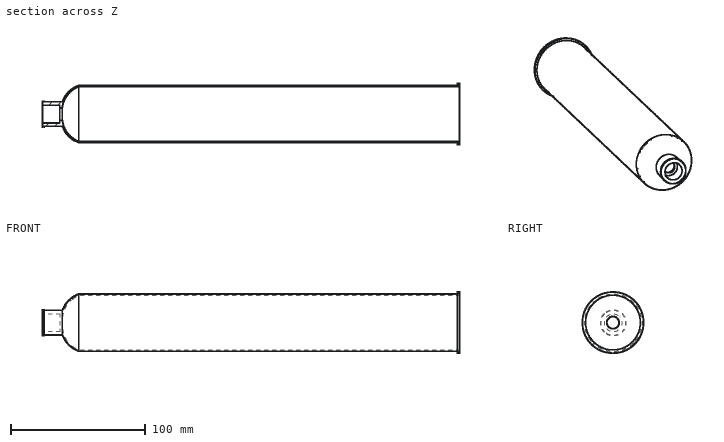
import cadquery as cq
import math

total_length = 311.0

barrel_diameter = 42.8
wall_thickness = 1.0
flange_diameter = 45.8
flange_thickness = 1.8

neck_diameter = 18.6
neck_length = 15.0
lip_diameter = 19.3
lip_length = 1.5
socket_diameter = 13.2
socket_depth = 13.0
throat_diameter = 9.0

shoulder_length = 12.0
shoulder_radius = 20.0

barrel_start = neck_length + shoulder_length
flange_start = total_length - flange_thickness
barrel_radius = barrel_diameter / 2
neck_radius = neck_diameter / 2
bore_radius = barrel_radius - wall_thickness
throat_radius = throat_diameter / 2


def shoulder_centre():
    """Centre of the shoulder arc through the neck and barrel corners, on its inner side."""
    rise = barrel_radius - neck_radius
    chord = math.hypot(shoulder_length, rise)
    offset = math.sqrt(shoulder_radius**2 - (chord / 2) ** 2)
    centre_x = neck_length + shoulder_length / 2 + offset * rise / chord
    centre_r = neck_radius + rise / 2 - offset * shoulder_length / chord
    return centre_x, centre_r


centre_x, centre_r = shoulder_centre()


def arc_x(radius, r):
    """Position along the axis where a shoulder arc of the given radius reaches distance r."""
    return centre_x - math.sqrt(radius**2 - (r - centre_r) ** 2)


def arc_middle(radius, start_r, end_r):
    """A point of the shoulder arc halfway between two distances from the axis."""
    middle_r = (start_r + end_r) / 2
    return arc_x(radius, middle_r), middle_r


def disc(diameter, start, length):
    """Cylinder along +X from the given start."""
    return cq.Workplane("YZ", origin=(start, 0, 0)).circle(diameter / 2).extrude(length)


def revolve_about_x(profile):
    """Close a half profile and turn it into a solid around the part's axis."""
    return profile.close().revolve(360, (0, 0, 0), (1, 0, 0))


def outer_body():
    """Neck, rounded shoulder and barrel as one solid, with the lip and the rear flange."""
    body = revolve_about_x(
        cq.Workplane("XY")
        .lineTo(0, neck_radius)
        .lineTo(neck_length, neck_radius)
        .threePointArc(
            arc_middle(shoulder_radius, neck_radius, barrel_radius),
            (barrel_start, barrel_radius),
        )
        .lineTo(total_length, barrel_radius)
        .lineTo(total_length, 0)
    )
    lip = disc(lip_diameter, 0, lip_length)
    flange = disc(flange_diameter, flange_start, flange_thickness)
    return body.union(lip).union(flange)


def barrel_cavity():
    """Bore open at the rear, ending in a shoulder arc one wall thickness inside the outer one."""
    inner_radius = shoulder_radius - wall_thickness
    cavity_start = arc_x(inner_radius, throat_radius)
    return revolve_about_x(
        cq.Workplane("XY")
        .moveTo(cavity_start, 0)
        .lineTo(cavity_start, throat_radius)
        .threePointArc(
            arc_middle(inner_radius, throat_radius, bore_radius),
            (arc_x(inner_radius, bore_radius), bore_radius),
        )
        .lineTo(total_length, bore_radius)
        .lineTo(total_length, 0)
    )


def nozzle_passage():
    """Wide socket in the neck, narrowing to a throat that opens into the barrel."""
    socket = disc(socket_diameter, 0, socket_depth)
    throat = disc(throat_diameter, 0, barrel_start)
    return socket.union(throat)


cartridge = outer_body().cut(barrel_cavity()).cut(nozzle_passage())
result = cartridge.translate((-total_length / 2, 0, 0))